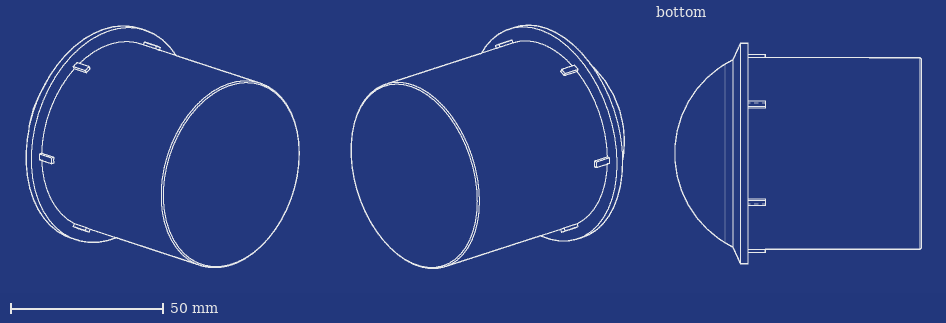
import cadquery as cq

barrel_diameter = 63.0
barrel_length = 56.9
barrel_end_chamfer = 0.5

flange_diameter = 72.45
flange_rim_thickness = 2.5
flange_height = 5.0

dome_radius = 34.3
dome_center_x = 10.2
dome_seam_x = -7.5

rib_count = 6
rib_width = 2.0
rib_length = 5.7
rib_outer_radius = 32.5

barrel_radius = barrel_diameter / 2
flange_radius = flange_diameter / 2
dome_base_x = -flange_height
dome_base_radius = (dome_radius**2 - (dome_center_x - dome_base_x) ** 2) ** 0.5
dome_apex_x = dome_center_x - dome_radius


def make_barrel():
    """Cylinder running from the flange to its chamfered free end."""
    barrel = cq.Workplane("YZ").circle(barrel_radius).extrude(barrel_length)
    return barrel.faces(">X").chamfer(barrel_end_chamfer)


def make_flange():
    """Flat rim with a conical front that narrows to the base of the dome."""
    return (
        cq.Workplane("XY")
        .moveTo(0, 0)
        .lineTo(0, flange_radius)
        .lineTo(-flange_rim_thickness, flange_radius)
        .lineTo(dome_base_x, dome_base_radius)
        .lineTo(dome_base_x, 0)
        .close()
        .revolve(360, (0, 0, 0), (1, 0, 0))
    )


def make_dome_slice(back_x, front_x):
    """Slice of the dome sphere between the planes X = back_x and X = front_x."""
    sphere = cq.Workplane("XY").sphere(dome_radius).translate((dome_center_x, 0, 0))
    envelope = cq.Workplane("YZ", origin=(front_x, 0, 0)).circle(dome_radius).extrude(back_x - front_x)
    return sphere.intersect(envelope)


def make_rib(angle):
    """Short key on the barrel behind the flange, running out from the axis and turned about X."""
    rib = cq.Workplane("XY").box(rib_length, rib_outer_radius, rib_width, centered=(False, False, True))
    return rib.rotate((0, 0, 0), (1, 0, 0), angle)


result = make_barrel().union(make_flange(), clean=False)
result = result.union(make_dome_slice(dome_base_x, dome_seam_x), clean=False)
result = result.union(make_dome_slice(dome_seam_x, dome_apex_x), clean=False)
for rib_index in range(rib_count):
    result = result.union(make_rib(rib_index * 360 / rib_count), clean=False)